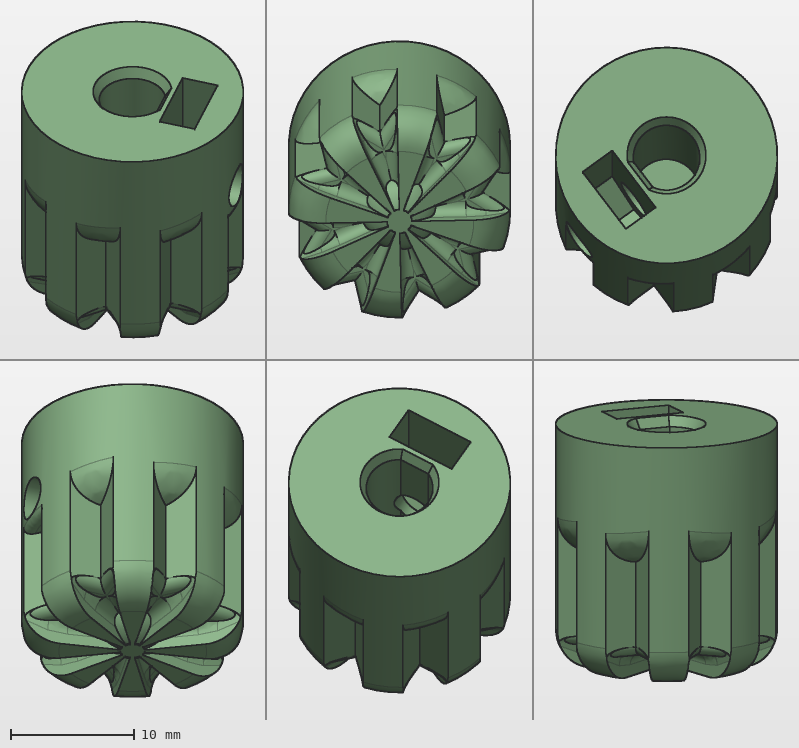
import cadquery as cq
import math

HEIGHT = 20.0
BODY_RADIUS = 9.0
EDGE_ROUND = 3.0

GROOVE_COUNT = 8
GROOVE_PITCH = 360.0 / GROOVE_COUNT
GROOVE_APEX = 6.92

SHOULDER_Z = 9.8
SHOULDER_ROUND = 3.0
SHOULDER_SLOPE = 0.13
FALLING_GROOVE = 4
SCREW_GROOVE = 0
SCREW_SHOULDER_Z = 10.0
SCREW_SHOULDER_ROUND = 0.8

SLOT_ROOF_Z = 2.0
SLOT_ROUND = 1.0
SLOT_LIP_ROUND = 0.9
SLOT_HALF_ANGLE = 12.0
SLOT_START = 1.0
SLOT_RISE_START = 5.4
SLOT_MIDDLE = 7.0
SLOT_MIDDLE_ROOF_Z = 3.0
SLOT_MIDDLE_ROUND = 1.8
SLOT_END = 10.0
SLOT_END_ROOF_Z = 3.15
SLOT_END_ROUND = 0.75
CORE_RADIUS = 3.2

BORE_RADIUS = 2.7
BORE_FLAT_X = 2.35
BORE_CHAMFER_WIDTH = 0.5
BORE_CHAMFER_DEPTH = 0.85
BORE_FLOOR_Z = 7.0

SCREW_DIAMETER = 3.5
SCREW_Z = 12.5
NUT_ACROSS_FLATS = 5.9
NUT_THICKNESS = 3.0
NUT_START_X = 3.3

REACH = 2 * BODY_RADIUS


def rounded_cylinder(radius, bottom_z, top_z):
    """Cylinder on the Z axis with its bottom rim rounded by EDGE_ROUND."""
    diagonal = EDGE_ROUND * math.sqrt(0.5)
    centre_r = radius - EDGE_ROUND
    centre_z = bottom_z + EDGE_ROUND
    profile = cq.Workplane("XZ").moveTo(0, bottom_z)
    if centre_r > 0:
        profile = profile.lineTo(centre_r, bottom_z)
    return (
        profile
        .threePointArc((centre_r + diagonal, centre_z - diagonal), (radius, centre_z))
        .lineTo(radius, top_z)
        .lineTo(0, top_z)
        .close()
        .revolve(360, (0, 0, 0), (0, 1, 0))
    )


def v_prism():
    """90 degree V opening toward +X, as tall as the part."""
    tip_to_end = REACH - GROOVE_APEX
    return (
        cq.Workplane("XY")
        .moveTo(GROOVE_APEX, 0)
        .lineTo(REACH, -tip_to_end)
        .lineTo(REACH, tip_to_end)
        .close()
        .extrude(HEIGHT)
    )


def slot_wall_profile(distance, roof_z, corner_round):
    """Slot cross-section on one side of the wall Y = 0, with its top corner rounded."""
    diagonal = corner_round * math.sqrt(0.5)
    centre_z = roof_z - corner_round
    return (
        cq.Workplane("YZ", origin=(distance, 0, 0))
        .moveTo(-BODY_RADIUS, -SLOT_ROOF_Z)
        .lineTo(0, -SLOT_ROOF_Z)
        .lineTo(0, centre_z)
        .threePointArc((diagonal - corner_round, centre_z + diagonal), (-corner_round, roof_z))
        .lineTo(-BODY_RADIUS, roof_z)
        .close()
    )


def slot_side():
    """Space bounded by one radial slot wall and the slot roof."""
    stations = [
        slot_wall_profile(SLOT_START, SLOT_ROOF_Z, SLOT_ROUND),
        slot_wall_profile(SLOT_RISE_START, SLOT_ROOF_Z, SLOT_ROUND),
        slot_wall_profile(SLOT_MIDDLE, SLOT_MIDDLE_ROOF_Z, SLOT_MIDDLE_ROUND),
        slot_wall_profile(SLOT_END, SLOT_END_ROOF_Z, SLOT_END_ROUND),
    ]
    side = cq.Workplane(cq.Solid.makeLoft([station.wires().val() for station in stations], True))
    return side.rotate((0, 0, 0), (0, 0, 1), SLOT_HALF_ANGLE)


def lip_side():
    """Space in front of one V wall and below its rounded lower lip."""
    diagonal = SLOT_LIP_ROUND * math.sqrt(0.5)
    lip_top = SLOT_ROOF_Z + SLOT_LIP_ROUND
    profile = (
        cq.Workplane("YZ", origin=(-REACH, 0, 0))
        .moveTo(-REACH, 0)
        .lineTo(REACH, 0)
        .lineTo(REACH, SLOT_ROOF_Z)
        .lineTo(SLOT_LIP_ROUND, SLOT_ROOF_Z)
        .threePointArc((SLOT_LIP_ROUND - diagonal, lip_top - diagonal), (0, lip_top))
        .lineTo(0, HEIGHT)
        .lineTo(-REACH, HEIGHT)
        .close()
    )
    return (
        profile.extrude(2 * REACH)
        .rotate((0, 0, 0), (0, 0, 1), 45)
        .translate((GROOVE_APEX, 0, 0))
    )


def slot_cutter():
    """Radial slot under the groove along +X, ending at the round core."""
    left_side = cq.Workplane("XY").box(2 * REACH, REACH, 2 * REACH, centered=(True, False, True))
    left_half = slot_side().intersect(left_side).intersect(lip_side())
    slot = left_half.union(left_half.mirror("XZ"))
    return slot.cut(rounded_cylinder(CORE_RADIUS, 0, HEIGHT))


def shoulder(bottom_z, rim_round, slope=0.0):
    """Space above a groove: a rounded shoulder that rises to a wide flange at the body surface.

    With a slope, it is sheared in Z so that it rises along +Y.
    """
    diagonal = rim_round * math.sqrt(0.5)
    centre_r = BODY_RADIUS - rim_round
    centre_z = bottom_z + rim_round
    level = (
        cq.Workplane("XZ")
        .moveTo(0, bottom_z)
        .lineTo(centre_r, bottom_z)
        .threePointArc((centre_r + diagonal, centre_z - diagonal), (BODY_RADIUS, centre_z))
        .lineTo(2 * REACH, centre_z)
        .lineTo(2 * REACH, 2 * HEIGHT)
        .lineTo(0, 2 * HEIGHT)
        .close()
        .revolve(360, (0, 0, 0), (0, 1, 0))
    )
    shear = cq.Matrix([[1, 0, 0, 0], [0, 1, 0, 0], [0, slope, 1, 0]])
    return cq.Workplane(level.val().transformGeometry(shear))


def groove_cutter(index):
    """One V groove with its shoulder and slot, turned to its place around the body."""
    if index == SCREW_GROOVE:
        roof = shoulder(SCREW_SHOULDER_Z, SCREW_SHOULDER_ROUND)
    elif index == FALLING_GROOVE:
        roof = shoulder(SHOULDER_Z, SHOULDER_ROUND, -SHOULDER_SLOPE)
    else:
        roof = shoulder(SHOULDER_Z, SHOULDER_ROUND, SHOULDER_SLOPE)
    cutter = v_prism().cut(roof).union(slot_cutter())
    return cutter.rotate((0, 0, 0), (0, 0, 1), index * GROOVE_PITCH)


def shaft_bore():
    """Blind D bore with a chamfered mouth."""
    def d_section(z, growth):
        flat_x = BORE_FLAT_X + growth
        radius = BORE_RADIUS + growth
        flat_y = math.sqrt(radius**2 - flat_x**2)
        return (
            cq.Workplane("XY", origin=(0, 0, z))
            .moveTo(flat_x, -flat_y)
            .lineTo(flat_x, flat_y)
            .threePointArc((-radius, 0), (flat_x, -flat_y))
            .close()
        )

    bore = d_section(BORE_FLOOR_Z, 0).extrude(HEIGHT - BORE_FLOOR_Z)
    rim_bottom = d_section(HEIGHT - BORE_CHAMFER_DEPTH, 0).wires().val()
    rim_top = d_section(HEIGHT, BORE_CHAMFER_WIDTH).wires().val()
    return bore.union(cq.Workplane(cq.Solid.makeLoft([rim_bottom, rim_top], True)))


def nut_pocket():
    """Slot open at the top, ending in the lower half of a point-down hexagon."""
    half_width = NUT_ACROSS_FLATS / 2
    corner_radius = half_width / math.cos(math.radians(30))
    return (
        cq.Workplane("YZ", origin=(NUT_START_X, 0, 0))
        .moveTo(0, SCREW_Z - corner_radius)
        .lineTo(half_width, SCREW_Z - corner_radius / 2)
        .lineTo(half_width, HEIGHT)
        .lineTo(-half_width, HEIGHT)
        .lineTo(-half_width, SCREW_Z - corner_radius / 2)
        .close()
        .extrude(NUT_THICKNESS)
    )


def screw_hole():
    """Radial hole from the +X side into the shaft bore."""
    return cq.Workplane("YZ", origin=(0, 0, SCREW_Z)).circle(SCREW_DIAMETER / 2).extrude(REACH)


result = rounded_cylinder(BODY_RADIUS, 0, HEIGHT)

for index in range(GROOVE_COUNT):
    result = result.cut(groove_cutter(index))

result = result.cut(shaft_bore()).cut(nut_pocket()).cut(screw_hole())